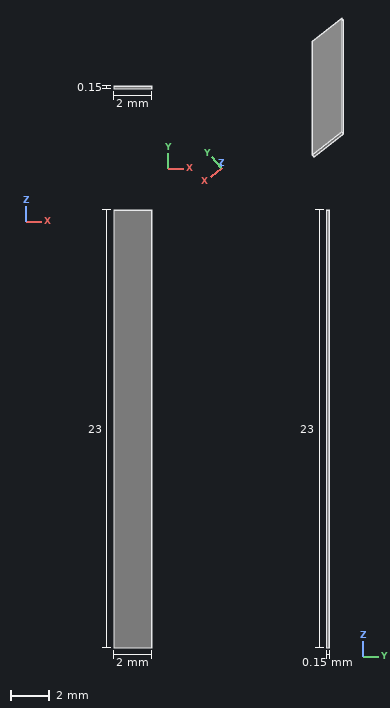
import cadquery as cq

width = 2.0
thickness = 0.15
length = 23.0

result = cq.Workplane("XY").box(width, thickness, length)